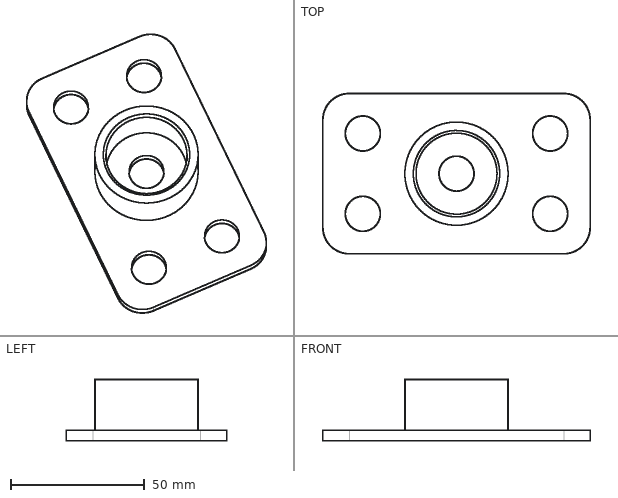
import cadquery as cq

plate_length = 100.0
plate_width = 60.0
plate_thickness = 4.0
corner_radius = 10.0

hole_diameter = 13.0
hole_spacing_x = 70.0
hole_spacing_y = 30.0

total_height = 23.0
cup_diameter = 38.6
bore_diameter = 30.3
bore_chamfer = 1.0
cup_height = total_height - plate_thickness


def make_plate():
    """Rounded plate with its underside at Z = 0."""
    plate = cq.Workplane("XY").box(
        plate_length, plate_width, plate_thickness, centered=(True, True, False)
    )
    return plate.edges("|Z").fillet(corner_radius)


def make_cup():
    """Ring on the plate's upper face, with both ends of its bore chamfered."""
    ring = (
        cq.Workplane("XY", origin=(0, 0, plate_thickness))
        .circle(cup_diameter / 2)
        .circle(bore_diameter / 2)
        .extrude(cup_height)
    )
    bore_edges = ring.faces("|Z").edges(cq.selectors.RadiusNthSelector(0))
    return bore_edges.chamfer(bore_chamfer)


def make_holes():
    """Cutters for the four mounting holes and the central hole."""
    return (
        cq.Workplane("XY")
        .rect(hole_spacing_x, hole_spacing_y, forConstruction=True)
        .vertices()
        .circle(hole_diameter / 2)
        .moveTo(0, 0)
        .circle(hole_diameter / 2)
        .extrude(plate_thickness)
    )


result = make_plate().union(make_cup()).cut(make_holes())